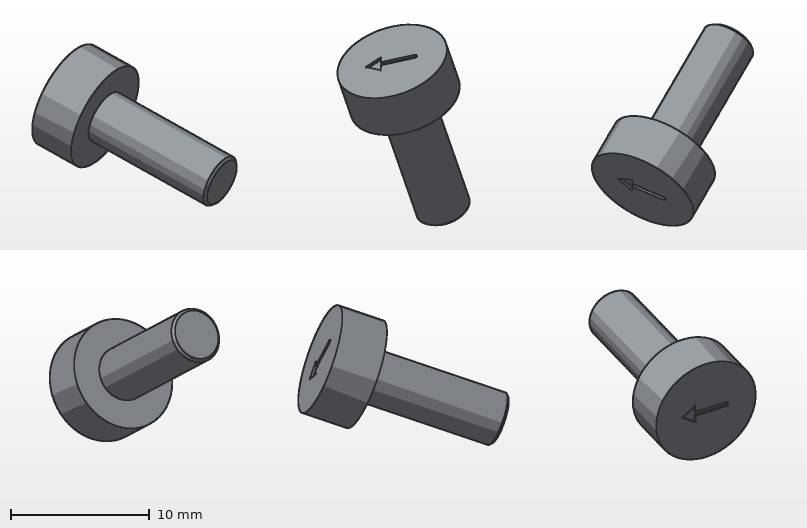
import cadquery as cq

total_length = 14.0
head_diameter = 8.2
head_length = 3.5
shank_diameter = 4.0
tip_chamfer = 0.2

arrow_tip_y = 1.96
arrow_base_y = 0.84
arrow_tail_y = -1.85
arrow_head_width = 1.53
arrow_stem_width = 0.38
arrow_depth = 0.2


def make_head():
    """Round head with its outer face on the plane X = 0."""
    return cq.Workplane("YZ").circle(head_diameter / 2).extrude(head_length)


def make_shank():
    """Plain pin behind the head, chamfered at its free end."""
    shank_length = total_length - head_length
    return (
        cq.Workplane("YZ", origin=(head_length, 0, 0))
        .circle(shank_diameter / 2)
        .extrude(shank_length)
        .faces(">X")
        .chamfer(tip_chamfer)
    )


def make_arrow():
    """Cutter for the arrow: a triangular head and a stem with a rounded tail."""
    half_head = arrow_head_width / 2
    half_stem = arrow_stem_width / 2
    tail_centre_y = arrow_tail_y + half_stem
    return (
        cq.Workplane("YZ")
        .moveTo(arrow_tip_y, 0)
        .lineTo(arrow_base_y, half_head)
        .lineTo(arrow_base_y, half_stem)
        .lineTo(tail_centre_y, half_stem)
        .threePointArc((arrow_tail_y, 0), (tail_centre_y, -half_stem))
        .lineTo(arrow_base_y, -half_stem)
        .lineTo(arrow_base_y, -half_head)
        .close()
        .extrude(arrow_depth)
    )


result = make_head().union(make_shank()).cut(make_arrow())